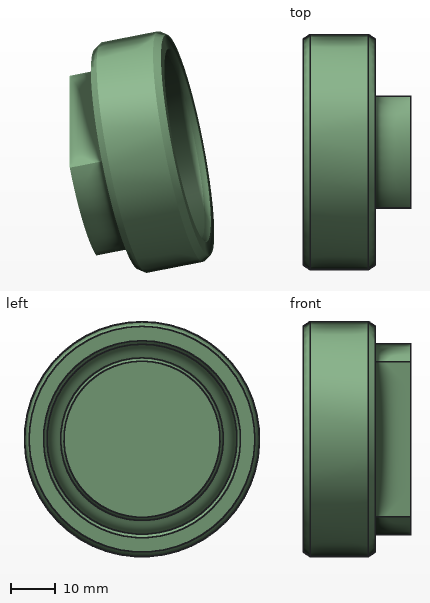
import cadquery as cq

rim_radius = 26.2
rim_width = 16.1
rim_chamfer_length = 1.55
rim_chamfer_depth = 1.05
total_length = 24.0

recess_radius = 21.15
recess_depth = 8.1
mouth_chamfer_length = 1.25
mouth_chamfer_depth = 0.8

pad_radius = 18.15
pad_height = 1.05
pad_taper = 0.75

boss_radius = 21.35
boss_width = 25.0


def make_rim():
    """Revolve the rim section, with its recess and raised pad, about X."""
    pad_face = recess_depth - pad_height
    shoulder_radius = rim_radius - rim_chamfer_depth
    section = [
        (pad_face, 0),
        (pad_face, pad_radius - pad_taper),
        (recess_depth, pad_radius),
        (recess_depth, recess_radius),
        (mouth_chamfer_length, recess_radius),
        (0, recess_radius + mouth_chamfer_depth),
        (0, shoulder_radius),
        (rim_chamfer_length, rim_radius),
        (rim_width - rim_chamfer_length, rim_radius),
        (rim_width, shoulder_radius),
        (rim_width, 0),
    ]
    return cq.Workplane("XZ").polyline(section).close().revolve(360, (0, 0, 0), (1, 0, 0))


def make_boss():
    """Round boss cut by two flats facing -Y and +Y."""
    boss_length = total_length - rim_width
    start = cq.Workplane("YZ").workplane(offset=rim_width)
    cylinder = start.circle(boss_radius).extrude(boss_length)
    flats = start.rect(boss_width, 2 * boss_radius).extrude(boss_length)
    return cylinder.intersect(flats)


result = make_rim().union(make_boss())